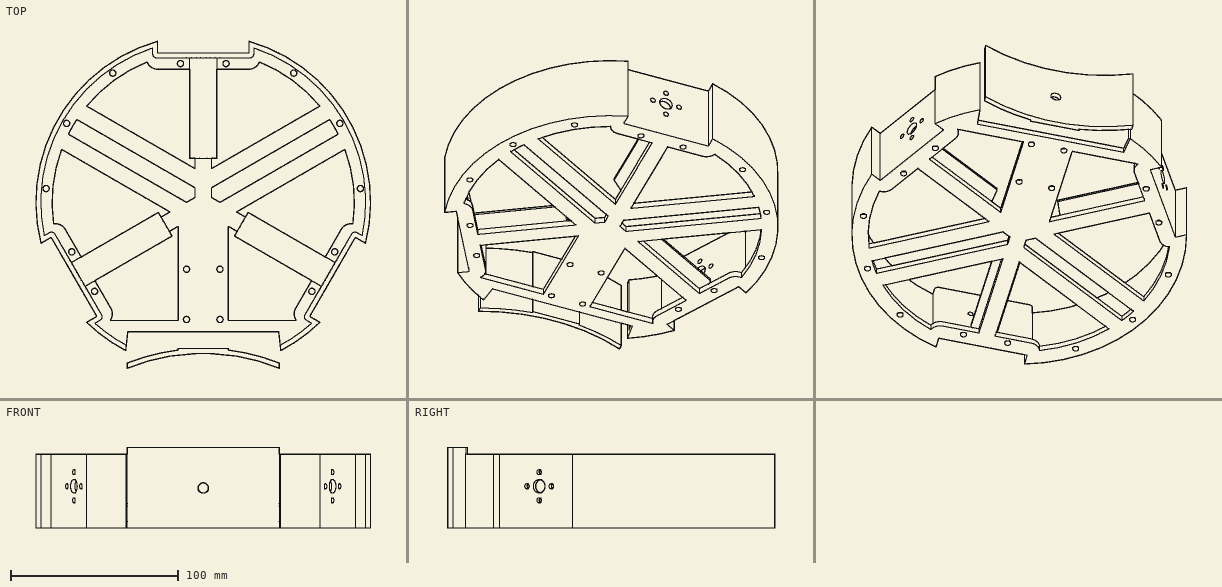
import cadquery as cq
import math

outer_radius = 99.7
wall = 3.0
wall_height = 44.0
floor_thickness = 4.0
rim_width = 9.8
cut_margin = 2.0

wheel_angles = (90, 210, 330)
notch_half_width = 27.1
notch_floor = 89.0
wall_inner_face = notch_floor - wall
notch_corner_radius = 2.4
rim_side_inset = rim_width - wall
rim_corner_radius = rim_side_inset

shaft_height = 25.0
shaft_hole_diameter = 8.0
motor_screw_diameter = 3.0
motor_screw_offset = 8.4

narrow_half_width = 5.0
wide_half_width = 3 * narrow_half_width
wide_spoke_angles = (30, 150)

crossbar_inner = -70.4
crossbar_outer = -77.2
opening_half_width = 44.9
opening_mouth_half_width = 46.3
opening_mouth_y = -89.7

cradle_end = 26.1
cradle_half_width = 8.2
cradle_foot_half_width = 2.2
cradle_height = 10.5
cradle_lip = 1.4
cradle_radius = 15.0

floor_hole_diameter = 3.5
rim_hole_radius = 94.0
rim_hole_spacing = 25
notch_hole_half_pitch = 13.5
notch_hole_distance = 82.5
block_hole_x = 10.0
block_hole_rows = (-39.9, -69.8)

panel_half_width = 45.3
panel_height = 48.0
panel_thickness = 3.0
panel_radius = 119.7
panel_end_y = -99.0
panel_pad_half_width = wide_half_width
panel_hole_diameter = 6.0
panel_hole_height = 24.0


def turned(shape, angle):
    """Turn a shape made along +X to the given angle about the housing axis."""
    return shape.rotate((0, 0, 0), (0, 0, 1), angle)


def disc_without_notches(height, inset=0, side_inset=0, corner_radius=0):
    """Notched disc set inward from the outside of the shell; the notch sides have their own inset."""
    disc = cq.Workplane("XY").circle(outer_radius - inset).extrude(height)
    start = notch_floor - inset
    length = outer_radius + wall - start + inset
    width = 2 * (notch_half_width + side_inset)
    notch = (
        cq.Workplane("XY")
        .workplane(offset=-cut_margin)
        .center(start + length / 2, 0)
        .rect(length, width)
        .extrude(height + 2 * cut_margin)
    )
    if corner_radius > 0:
        notch = notch.edges("|Z and <X").fillet(corner_radius)
    for angle in wheel_angles:
        disc = disc.cut(turned(notch, angle))
    return disc


def bar(start, end, half_width):
    """Floor-thick bar along +X."""
    return (
        cq.Workplane("XY")
        .center((start + end) / 2, 0)
        .rect(end - start, 2 * half_width)
        .extrude(floor_thickness)
    )


def wide_spoke(angle):
    """Double spoke: a wide bar from the axis to the shell, split by a slot that ends at the rim."""
    spoke = bar(0, outer_radius, wide_half_width)
    slot = bar(0, outer_radius - rim_width, narrow_half_width)
    return turned(spoke.cut(slot), angle)


def make_floor():
    outline = disc_without_notches(floor_thickness)
    window = disc_without_notches(floor_thickness, rim_width, rim_side_inset, rim_corner_radius)
    below_window = turned(bar(-crossbar_inner, outer_radius, outer_radius), -90)
    floor = outline.cut(window.cut(below_window))

    spokes = wide_spoke(wide_spoke_angles[0]).union(wide_spoke(wide_spoke_angles[1]))
    for angle in wheel_angles:
        spokes = spokes.union(turned(bar(-narrow_half_width, wall_inner_face, narrow_half_width), angle))
    block = bar(narrow_half_width, -crossbar_outer, wide_half_width)
    spokes = spokes.union(turned(block, -90))
    return floor.union(spokes.intersect(outline))


def make_shell():
    interior = disc_without_notches(wall_height, wall, wall, notch_corner_radius)
    return disc_without_notches(wall_height).cut(interior)


def front_opening():
    points = [
        (-opening_half_width, crossbar_outer),
        (-opening_mouth_half_width, opening_mouth_y),
        (-opening_mouth_half_width, -outer_radius - cut_margin),
        (opening_mouth_half_width, -outer_radius - cut_margin),
        (opening_mouth_half_width, opening_mouth_y),
        (opening_half_width, crossbar_outer),
    ]
    return cq.Workplane("XY").polyline(points).close().extrude(wall_height)


def make_cradle():
    """Grooved motor support along +X, standing on a spoke."""
    top = floor_thickness + cradle_height
    sagitta = cradle_radius - math.sqrt(cradle_radius**2 - cradle_half_width**2)
    return (
        cq.Workplane("YZ", origin=(cradle_end, 0, 0))
        .moveTo(-cradle_foot_half_width, floor_thickness)
        .lineTo(cradle_foot_half_width, floor_thickness)
        .lineTo(cradle_half_width, top - cradle_lip)
        .lineTo(cradle_half_width, top)
        .threePointArc((0, top - sagitta), (-cradle_half_width, top))
        .lineTo(-cradle_half_width, top - cradle_lip)
        .close()
        .extrude(wall_inner_face - cradle_end)
    )


def motor_holes():
    """Shaft hole and four screw holes through a notch wall facing +X."""
    plane = cq.Workplane("YZ", origin=(wall_inner_face - cut_margin, 0, shaft_height))
    depth = wall + 2 * cut_margin
    shaft = plane.circle(shaft_hole_diameter / 2).extrude(depth)
    screws = (
        plane.polarArray(motor_screw_offset, 0, 360, 4)
        .circle(motor_screw_diameter / 2)
        .extrude(depth)
    )
    return shaft.union(screws)


def floor_hole_points():
    points = [(side * block_hole_x, y) for side in (-1, 1) for y in block_hole_rows]
    for middle in wide_spoke_angles:
        for step in (-1, 0, 1):
            angle = math.radians(middle + step * rim_hole_spacing)
            points.append((rim_hole_radius * math.cos(angle), rim_hole_radius * math.sin(angle)))
    for middle in wheel_angles:
        c = math.cos(math.radians(middle))
        s = math.sin(math.radians(middle))
        for side in (-notch_hole_half_pitch, notch_hole_half_pitch):
            points.append((notch_hole_distance * c - side * s, notch_hole_distance * s + side * c))
    return points


def make_housing():
    body = make_floor().union(make_shell()).cut(front_opening())
    for angle in wheel_angles:
        body = body.union(turned(make_cradle(), angle)).cut(turned(motor_holes(), angle))
    holes = (
        cq.Workplane("XY").pushPoints(floor_hole_points())
        .circle(floor_hole_diameter / 2).extrude(floor_thickness)
    )
    return body.cut(holes)


def make_panel():
    """Curved panel with a full-height flat pad behind its hole, level with the crown of its back."""
    center_y = panel_end_y - math.sqrt(panel_radius**2 - panel_half_width**2)
    back_radius = panel_radius + panel_thickness
    front_crown = center_y + panel_radius
    back_crown = center_y + back_radius

    def back_point(x):
        return (x, center_y + math.sqrt(back_radius**2 - x**2))

    wing_middle = (panel_half_width + panel_pad_half_width) / 2
    body = (
        cq.Workplane("XY")
        .moveTo(-panel_half_width, panel_end_y)
        .threePointArc((0, front_crown), (panel_half_width, panel_end_y))
        .lineTo(*back_point(panel_half_width))
        .threePointArc(back_point(wing_middle), back_point(panel_pad_half_width))
        .lineTo(panel_pad_half_width, back_crown)
        .lineTo(-panel_pad_half_width, back_crown)
        .lineTo(*back_point(-panel_pad_half_width))
        .threePointArc(back_point(-wing_middle), back_point(-panel_half_width))
        .close()
        .extrude(panel_height)
    )
    hole = (
        cq.Workplane("XZ", origin=(0, front_crown - cut_margin, panel_hole_height))
        .circle(panel_hole_diameter / 2)
        .extrude(-(panel_thickness + 2 * cut_margin))
    )
    return body.cut(hole)


housing = make_housing()
panel = make_panel()
result = cq.Compound.makeCompound([housing.val(), panel.val()])